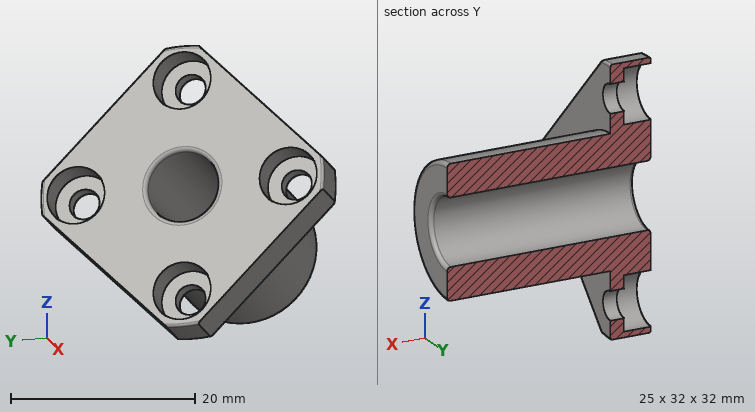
import cadquery as cq

flange_diameter = 31.98
flange_square = 25.0
flange_thickness = 5.0
flange_edge_radius = 0.3

total_length = 25.0
body_diameter = 16.0
body_end_radius = 0.48
bore_diameter = 8.0
bore_edge_radius = 0.48

hole_diameter = 3.4
counterbore_diameter = 6.5
counterbore_depth = 3.3
hole_circle_radius = 12.0
hole_positions = [
    (hole_circle_radius, 0),
    (0, hole_circle_radius),
    (-hole_circle_radius, 0),
    (0, -hole_circle_radius),
]


def make_flange():
    """Intersect an edge-rounded disc with a square turned by 45 degrees."""
    disc = (
        cq.Workplane("YZ")
        .circle(flange_diameter / 2)
        .extrude(flange_thickness)
        .edges()
        .fillet(flange_edge_radius)
    )
    square = (
        cq.Workplane("YZ")
        .rect(flange_square, flange_square)
        .extrude(flange_thickness)
        .rotate((0, 0, 0), (1, 0, 0), 45)
    )
    return disc.intersect(square)


def make_body():
    """Cylinder with a rounded rim at its free end."""
    return (
        cq.Workplane("YZ")
        .circle(body_diameter / 2)
        .extrude(total_length)
        .faces(">X")
        .edges()
        .fillet(body_end_radius)
    )


def cut_bore(part):
    """Bore the full length and round both mouths."""
    bored = part.cut(cq.Workplane("YZ").circle(bore_diameter / 2).extrude(total_length))
    mouths = bored.faces("<X or >X").edges(cq.selectors.RadiusNthSelector(0))
    return mouths.fillet(bore_edge_radius)


def cut_mounting_holes(part):
    """Drill through the flange and counterbore from its outer face."""
    holes = cq.Workplane("YZ").pushPoints(hole_positions)
    through_holes = holes.circle(hole_diameter / 2).extrude(flange_thickness)
    counterbores = holes.circle(counterbore_diameter / 2).extrude(counterbore_depth)
    return part.cut(through_holes).cut(counterbores)


result = cut_mounting_holes(cut_bore(make_flange().union(make_body())))